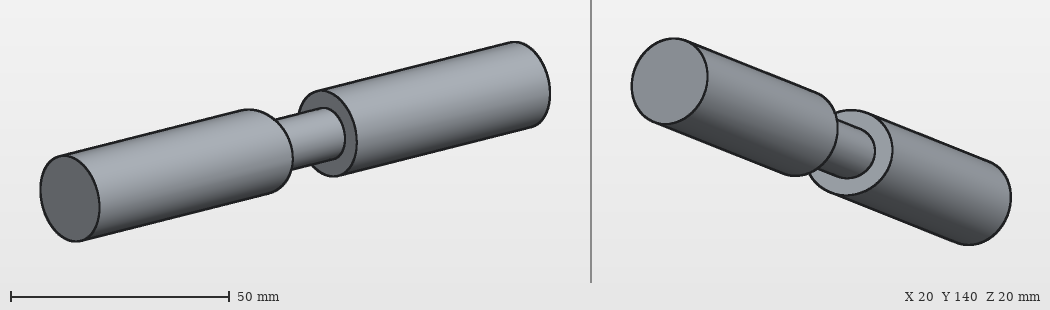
import cadquery as cq
import math

length = 140.0
end_diameter = 20.0
neck_diameter = 12.0
end_length = 60.0
slant_angle = 15.0

front_y = -length / 2
rear_y = length / 2
end_radius = end_diameter / 2
slant_drop = end_diameter * math.tan(math.radians(slant_angle))


def rod(diameter, start_y, rod_length):
    """Round rod running towards +Y from start_y."""
    return cq.Workplane("XZ", origin=(0, start_y, 0)).circle(diameter / 2).extrude(-rod_length)


slant_outline = [
    (-end_radius, front_y),
    (end_radius, front_y),
    (end_radius, front_y + end_length),
    (-end_radius, front_y + end_length - slant_drop),
]
slant_envelope = cq.Workplane("XY").polyline(slant_outline).close().extrude(end_radius, both=True)

front_end = rod(end_diameter, front_y, end_length).intersect(slant_envelope)
rear_end = rod(end_diameter, rear_y - end_length, end_length)

neck = rod(neck_diameter, front_y, length)

result = neck.union(front_end).union(rear_end)